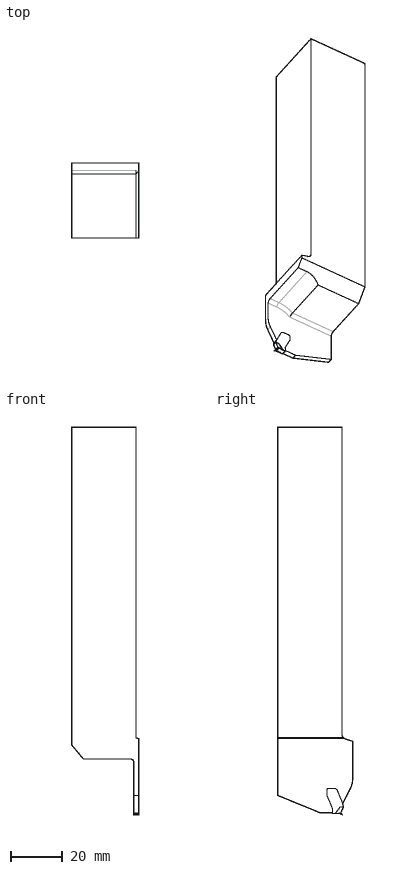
import cadquery as cq
import math

total_length = 150.0
shank_size = 24.9
side_offset = 1.0
nose_offset = 4.2
blade_x = shank_size + side_offset
head_y = shank_size + nose_offset

shoulder_z = 29.8
shoulder_slope = math.tan(math.radians(18))
shoulder_fillet = 2.0
underside_z = 21.6
raised_underside_z = 23.8
chamfer_width = 4.5
chamfer_top_z = 27.0
chamfer_height = chamfer_top_z - underside_z
relief_start_y = 18.8
relief_end_y = 25.0

blade_thickness = 2.0
blade_root_fillet = 1.4
blade_back_z = 7.5
blade_bottom_y = 16.5
blade_bottom_z = 0.8
nose_bend_z = 12.0
nose_bend_radius = 9.0
seat_mouth_y = 25.2
seat_mouth_z = 4.4

insert_top_z = 10.2
insert_top_y = 22.8
insert_back_y = 19.0
insert_bottom_z = 0.5
insert_shoulder_z = 7.6
insert_heel_y = 21.2
insert_heel_top_z = 2.5
insert_corner_radius = 1.2
insert_back_radius = 0.6
tip_y = 25.0
tip_land_y = 24.2
rake_hollow_y = 24.5
rake_hollow_z = 0.8
rake_crest_y = 25.5
rake_crest_z = 3.0
flank_top_y = 24.2
flank_bottom_y = 22.2
flank_depth = 0.2

tolerance = 0.02


def side_plate(x_start, thickness, outline):
    """Extrude a closed outline of (Y, Z) points along +X from x_start."""
    return cq.Workplane("YZ", origin=(x_start, 0, 0)).polyline(outline).close().extrude(thickness)


def edge_along_x(y, z):
    """Selector for the edge parallel to X at the given Y and Z."""
    return cq.selectors.BoxSelector(
        (0, y - tolerance, z - tolerance),
        (blade_x, y + tolerance, z + tolerance),
    )


def underside_cutter():
    """Volume beside the blade, rounded so that it leaves a concave fillet at the blade root."""
    run = relief_end_y - relief_start_y
    rise = raised_underside_z - underside_z
    radius = (run**2 + rise**2) / (2 * rise)
    half_angle = math.asin(run / radius) / 2
    arc_middle = (
        relief_end_y - radius * math.sin(half_angle),
        raised_underside_z - radius * (1 - math.cos(half_angle)),
    )
    blade_face_x = blade_x - blade_thickness
    cutter = (
        cq.Workplane("YZ")
        .moveTo(0, 0)
        .lineTo(0, underside_z)
        .lineTo(relief_start_y, underside_z)
        .threePointArc(arc_middle, (relief_end_y, raised_underside_z))
        .lineTo(head_y, raised_underside_z)
        .lineTo(head_y, 0)
        .close()
        .extrude(blade_face_x)
    )
    root_edges = cq.selectors.BoxSelector(
        (blade_face_x - tolerance, -tolerance, underside_z - tolerance),
        (blade_face_x + tolerance, head_y + tolerance, raised_underside_z + tolerance),
        boundingbox=True,
    )
    return cutter.edges(root_edges).fillet(blade_root_fillet)


def make_head():
    """Wide lower end of the holder, with the blade still full thickness."""
    head = side_plate(0, blade_x, [
        (0, blade_back_z),
        (blade_bottom_y, blade_bottom_z),
        (insert_heel_y, blade_bottom_z),
        (seat_mouth_y, seat_mouth_z),
        (head_y, nose_bend_z),
        (head_y, shoulder_z - nose_offset * shoulder_slope),
        (shank_size, shoulder_z),
        (0, shoulder_z),
    ])
    head = head.edges(edge_along_x(head_y, nose_bend_z)).fillet(nose_bend_radius)

    shoulder = (
        cq.Workplane("XZ")
        .moveTo(shank_size, shoulder_z)
        .lineTo(blade_x, shoulder_z)
        .lineTo(blade_x, shoulder_z - side_offset * shoulder_slope)
        .close()
        .extrude(-head_y)
    )
    return head.cut(shoulder)


def make_holder(insert_seat):
    """Square shank, head and thin blade, with a seat for the insert."""
    shank = cq.Workplane("XY", origin=(0, 0, shoulder_z)).rect(
        shank_size, shank_size, centered=False
    ).extrude(total_length - shoulder_z)
    holder = make_head().union(shank)
    holder = holder.edges(edge_along_x(shank_size, shoulder_z)).fillet(shoulder_fillet)

    holder = holder.cut(underside_cutter())

    chamfer = (
        cq.Workplane("XZ")
        .moveTo(0, chamfer_top_z)
        .lineTo(chamfer_width, chamfer_top_z - chamfer_height)
        .lineTo(0, chamfer_top_z - chamfer_height)
        .close()
        .extrude(-head_y)
    )
    return holder.cut(chamfer).cut(insert_seat)


def make_insert_blank():
    """Insert at full thickness; the same shape forms its seat."""
    blank = side_plate(blade_x - blade_thickness, blade_thickness, [
        (tip_y, 0),
        (rake_hollow_y, rake_hollow_z),
        (rake_crest_y, rake_crest_z),
        (seat_mouth_y, seat_mouth_z),
        (insert_top_y, insert_top_z),
        (insert_back_y, insert_top_z),
        (insert_back_y, insert_shoulder_z),
        (insert_heel_y, insert_heel_top_z),
        (insert_heel_y, insert_bottom_z),
        (tip_land_y, insert_bottom_z),
    ])
    blank = blank.edges(edge_along_x(insert_top_y, insert_top_z)).fillet(insert_corner_radius)
    return blank.edges(edge_along_x(insert_back_y, insert_top_z)).fillet(insert_back_radius)


def make_insert():
    """Cutting insert with a shallow relief on both sides of its tip."""
    flank_outline = [
        (rake_crest_y, rake_crest_z),
        (flank_top_y, rake_crest_z),
        (flank_bottom_y, insert_bottom_z),
        (rake_hollow_y, rake_hollow_z),
    ]
    insert = make_insert_blank()
    for x_start in (blade_x - blade_thickness, blade_x - flank_depth):
        insert = insert.cut(side_plate(x_start, flank_depth, flank_outline))
    return insert


insert = make_insert()
holder = make_holder(make_insert_blank())

result = cq.Compound.makeCompound([holder.val(), insert.val()])